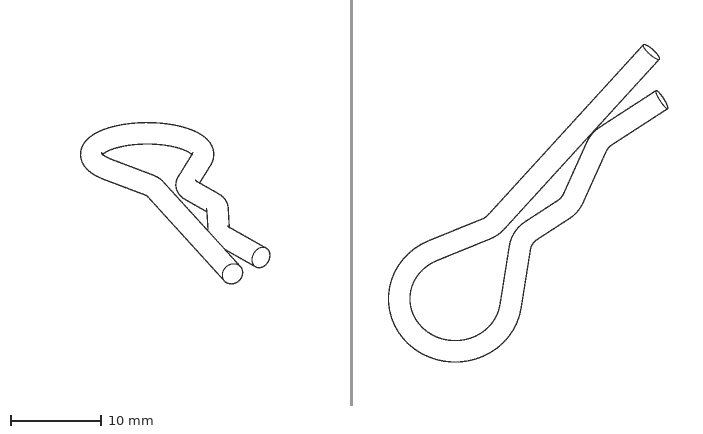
import cadquery as cq
import math

overall_length = 43.6
overall_width = 14.8
wire_diameter = 2.4
bend_radius = 3.0

loop_radius = (overall_width - wire_diameter) / 2
straight_tip_x = overall_length - overall_width / 2

straight_leg_y = -2.45
straight_leg_bend = (9.1, straight_leg_y)
straight_leg_tip = (straight_tip_x, straight_leg_y)

neck = (10.35, 0.85)
crest = (16.65, 2.5)
valley = (24.6, -0.05)
wavy_leg_tip = (32.7, 2.1)


def loop_tangent_point(corner, side):
    """Point where a line from the corner touches the loop; side is +1 for +Y, -1 for -Y."""
    corner_angle = math.atan2(corner[1], corner[0])
    opening_angle = math.acos(loop_radius / math.hypot(*corner))
    angle = corner_angle + side * opening_angle
    return (loop_radius * math.cos(angle), loop_radius * math.sin(angle))


def unit_direction(start, end):
    dx = end[0] - start[0]
    dy = end[1] - start[1]
    length = math.hypot(dx, dy)
    return (dx / length, dy / length)


def add_bend(path, before, corner, after):
    """Run straight up to the corner, then round it with a tangent arc."""
    back = unit_direction(corner, before)
    ahead = unit_direction(corner, after)
    half_angle = math.acos(back[0] * ahead[0] + back[1] * ahead[1]) / 2
    setback = bend_radius / math.tan(half_angle)
    bend_start = (corner[0] + setback * back[0], corner[1] + setback * back[1])
    bend_end = (corner[0] + setback * ahead[0], corner[1] + setback * ahead[1])
    return path.lineTo(*bend_start).tangentArcPoint(bend_end, relative=False)


loop_start = loop_tangent_point(straight_leg_bend, -1)
loop_end = loop_tangent_point(neck, 1)

centreline = cq.Workplane("XY").moveTo(*straight_leg_tip)
centreline = add_bend(centreline, straight_leg_tip, straight_leg_bend, loop_start)
centreline = centreline.lineTo(*loop_start).threePointArc((-loop_radius, 0), loop_end)

wavy_leg = [loop_end, neck, crest, valley, wavy_leg_tip]
for before, corner, after in zip(wavy_leg, wavy_leg[1:], wavy_leg[2:]):
    centreline = add_bend(centreline, before, corner, after)
centreline = centreline.lineTo(*wavy_leg_tip)

wire_section = cq.Workplane("YZ", origin=(straight_tip_x, straight_leg_y, 0)).circle(wire_diameter / 2)
result = wire_section.sweep(centreline)